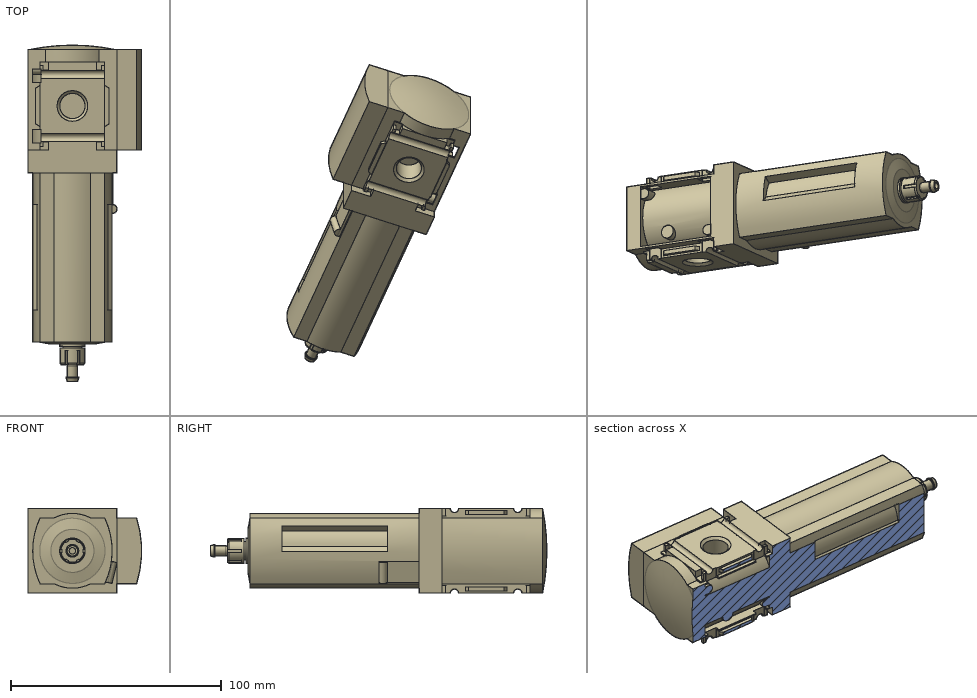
import cadquery as cq
import math


HEAD_WIDTH = 42.2
HEAD_HEIGHT = 40.2
CORE_HEIGHT = 31.3
HEAD_LENGTH = 58.6
COLLAR_LENGTH = 10.9
CAP_LENGTH = 5.9
DOME_RISE = 2.0
HALF_WIDTH = HEAD_WIDTH / 2
HALF_HEIGHT = HEAD_HEIGHT / 2
CORE_HALF_HEIGHT = CORE_HEIGHT / 2
CAP_START = HEAD_LENGTH - CAP_LENGTH
PORT_Y = (COLLAR_LENGTH + CAP_START) / 2

PAD_HALF_WIDTH = 15.3
GROOVE_RADIUS = 1.9
GROOVE_OFFSET = 15.0
CORNER_NOTCH_WIDTH = 4.0
CORNER_NOTCH_LENGTH = 3.8
CORNER_NOTCH_FLOOR = 16.5
LIP_WIDTH = 1.5
LIP_LENGTH = 2.0
TAB_REACH = 2.0
TAB_ROOT_LENGTH = 19.6
TAB_TIP_LENGTH = 17.0
TAB_BOTTOM = 17.2
TAB_TOP = 19.2
PORT_DIAMETER = 12.0
PORT_MOUTH_DIAMETER = 14.5
PORT_DEPTH = 12.8

POCKET_LENGTH = 38.3
POCKET_HALF_HEIGHT = 14.7
POCKET_CORE_RADIUS = 19.0
SLOT_OUTER_X = -18.8
SLOT_INNER_X = -14.9
SLOT_LENGTH = 6.4
SLOT_OFFSET = 14.4
PIN_RADIUS = 3.2
PIN_FACE_X = -18.8
PIN_Y = 37.5
PIN_Z = -8.6
LUG_RADIUS = 2.4
LUG_FACE_X = -20.8
LUG_OFFSET_Y = 17.2
LUG_Z = 11.2

COVER_EDGE_X = 30.5
COVER_CROWN_X = 32.9

BOWL_LENGTH = 80.3
BOWL_HALF_HEIGHT = 15.7
BOWL_CORNER_X = 15.3
BOWL_SIDE_X = 18.8
CROWN_HALF_WIDTH = 8.6
CROWN_Z = 17.7

WINDOW_START = 15.0
WINDOW_LENGTH = 50.0
WINDOW_FLOOR_RADIUS = 16.3
WINDOW_MOUTH = [(23.3, 16.0), (23.3, -4.5)]
WINDOW_ROOT = [(15.2, 2.9), (12.1, 8.8)]

LATCH_TOP = (19.2, -5.1)
LATCH_BOTTOM = (16.8, -15.0)
LATCH_ROOT_X = 14.4
LATCH_LENGTH = 19.2
BUTTON_RADIUS = 2.0

CONE_RADIUS = 15.5
CONE_TIP_RADIUS = 10.2
CONE_END = 81.3
FLANGE_RADIUS = 6.0
FLANGE_END = 82.2
NECK_RADIUS = 4.5
KNOB_START = 83.0
KNOB_END = 91.0
KNOB_RADIUS = 5.9
KNOB_BEVEL_LENGTH = 0.8
KNOB_TIP_RADIUS = 5.5
STEM_ROOT_RADIUS = 2.2
STEM_START = 91.8
STEM_DIAMETER = 5.0
BARB_DIAMETER = 6.0
BARB_START = 96.8
BARB_LAND = 0.5
DRAIN_END = 99.0
BORE_DIAMETER = 3.0
BORE_DEPTH = 8.0
KNOB_SLOTS = 6
KNOB_SLOT_WIDTH = 1.5
KNOB_SLOT_START = 84.3
KNOB_SLOT_FLOOR = 5.0


def block(x_range, y_range, z_range):
    """Box between two limits on each axis."""
    (x0, x1), (y0, y1), (z0, z1) = x_range, y_range, z_range
    return cq.Workplane("XY").box(x1 - x0, y1 - y0, z1 - z0, centered=False).translate((x0, y0, z0))


def rod_y(radius, start, end):
    """Cylinder on the Y axis."""
    return cq.Workplane("XZ", origin=(0, start, 0)).circle(radius).extrude(start - end)


def rod_x(radius, y, z, start, end):
    """Cylinder parallel to X."""
    return cq.Workplane("YZ", origin=(start, y, z)).circle(radius).extrude(end - start)


def mirrored_pair(shape, plane):
    return shape.union(shape.mirror(plane))


def head_blocks():
    core = block((-HALF_WIDTH, HALF_WIDTH), (0, HEAD_LENGTH), (-CORE_HALF_HEIGHT, CORE_HALF_HEIGHT))
    collar = block((-HALF_WIDTH, HALF_WIDTH), (0, COLLAR_LENGTH), (-HALF_HEIGHT, HALF_HEIGHT))
    cap = rod_y(HALF_HEIGHT, CAP_START, HEAD_LENGTH)
    return core.union(collar).union(cap).union(dome())


def dome():
    """Shallow spherical crown on the cap face."""
    sphere_radius = (HALF_HEIGHT**2 + DOME_RISE**2) / (2 * DOME_RISE)
    sphere_y = HEAD_LENGTH + DOME_RISE - sphere_radius
    mid_x = HALF_HEIGHT / 2
    mid_y = sphere_y + math.sqrt(sphere_radius**2 - mid_x**2)
    return (
        cq.Workplane("XY")
        .moveTo(0, HEAD_LENGTH)
        .lineTo(HALF_HEIGHT, HEAD_LENGTH)
        .threePointArc((mid_x, mid_y), (0, HEAD_LENGTH + DOME_RISE))
        .close()
        .revolve(360, (0, 0, 0), (0, 1, 0))
    )


def corner_notch():
    """Notch in the -X collar corner of the pad, leaving a small lip next to the groove."""
    edge = -PAD_HALF_WIDTH
    notch_end = COLLAR_LENGTH + CORNER_NOTCH_LENGTH
    depth = (CORNER_NOTCH_FLOOR, HALF_HEIGHT)
    notch = block((edge, edge + CORNER_NOTCH_WIDTH), (COLLAR_LENGTH, notch_end), depth)
    lip = block((edge, edge + LIP_WIDTH), (notch_end - LIP_LENGTH, notch_end), depth)
    return notch.cut(lip)


def pad_tab():
    """Tapered tab on the -X edge of the pad."""
    root_x = -PAD_HALF_WIDTH
    tip_x = root_x - TAB_REACH
    return (
        cq.Workplane("XY", origin=(0, PORT_Y, TAB_BOTTOM))
        .polyline([
            (root_x, -TAB_ROOT_LENGTH / 2),
            (tip_x, -TAB_TIP_LENGTH / 2),
            (tip_x, TAB_TIP_LENGTH / 2),
            (root_x, TAB_ROOT_LENGTH / 2),
        ])
        .close()
        .extrude(TAB_TOP - TAB_BOTTOM)
    )


def port_pad():
    """Raised pad on +Z with two round grooves along X, corner notches and edge tabs."""
    pad = block(
        (-PAD_HALF_WIDTH, PAD_HALF_WIDTH), (COLLAR_LENGTH, CAP_START), (CORE_HALF_HEIGHT, HALF_HEIGHT)
    )
    for side in (-1, 1):
        groove_y = PORT_Y + side * GROOVE_OFFSET
        pad = pad.cut(rod_x(GROOVE_RADIUS, groove_y, HALF_HEIGHT, -PAD_HALF_WIDTH, PAD_HALF_WIDTH))
    notches = mirrored_pair(corner_notch(), "YZ")
    far_notches = notches.mirror("XZ", (0, PORT_Y, 0))
    return pad.cut(notches).cut(far_notches).union(mirrored_pair(pad_tab(), "YZ"))


def port():
    """Blind port on +Z with a bevelled mouth."""
    bevel = (PORT_MOUTH_DIAMETER - PORT_DIAMETER) / 2
    return (
        cq.Workplane("XY", origin=(0, PORT_Y, HALF_HEIGHT))
        .circle(PORT_DIAMETER / 2)
        .extrude(-PORT_DEPTH)
        .union(
            cq.Workplane("XY", origin=(0, PORT_Y, HALF_HEIGHT))
            .circle(PORT_MOUTH_DIAMETER / 2)
            .extrude(-bevel, taper=45)
        )
    )


def pocket():
    """Opening on -X around the round core, with a pin and two lugs left standing in it."""
    start = PORT_Y - POCKET_LENGTH / 2
    end = PORT_Y + POCKET_LENGTH / 2
    opening = block((-HALF_WIDTH, 0), (start, end), (-POCKET_HALF_HEIGHT, POCKET_HALF_HEIGHT))
    opening = opening.cut(rod_y(POCKET_CORE_RADIUS, start, end))
    opening = opening.cut(rod_x(PIN_RADIUS, PIN_Y, PIN_Z, PIN_FACE_X, 0))
    for side, wall_y in ((-1, start), (1, end)):
        lug_y = PORT_Y + side * LUG_OFFSET_Y
        lug_z = side * LUG_Z
        web = block(
            (LUG_FACE_X, 0), sorted((lug_y, wall_y)), (lug_z - LUG_RADIUS, lug_z + LUG_RADIUS)
        )
        opening = opening.cut(rod_x(LUG_RADIUS, lug_y, lug_z, LUG_FACE_X, 0)).cut(web)
    return opening


def pocket_slots():
    """Two slots from the +Z side through the thin pocket wall, nicking the pad edge."""
    slots = cq.Workplane("XY")
    for side in (-1, 1):
        centre = PORT_Y + side * SLOT_OFFSET
        slots = slots.union(block(
            (SLOT_OUTER_X, SLOT_INNER_X),
            (centre - SLOT_LENGTH / 2, centre + SLOT_LENGTH / 2),
            (POCKET_HALF_HEIGHT, HALF_HEIGHT),
        ))
    return slots


def make_head():
    solid = head_blocks().union(mirrored_pair(port_pad(), "XY"))
    solid = solid.cut(pocket())
    for cutter in (port(), pocket_slots()):
        solid = solid.cut(cutter).cut(cutter.mirror("XY"))
    return solid


def bowl_barrel():
    """Barrel with curved sides, and flats on top and bottom that carry a round crown."""
    return (
        cq.Workplane("XZ")
        .moveTo(-BOWL_CORNER_X, BOWL_HALF_HEIGHT)
        .lineTo(-CROWN_HALF_WIDTH, BOWL_HALF_HEIGHT)
        .threePointArc((0, CROWN_Z), (CROWN_HALF_WIDTH, BOWL_HALF_HEIGHT))
        .lineTo(BOWL_CORNER_X, BOWL_HALF_HEIGHT)
        .threePointArc((BOWL_SIDE_X, 0), (BOWL_CORNER_X, -BOWL_HALF_HEIGHT))
        .lineTo(CROWN_HALF_WIDTH, -BOWL_HALF_HEIGHT)
        .threePointArc((0, -CROWN_Z), (-CROWN_HALF_WIDTH, -BOWL_HALF_HEIGHT))
        .lineTo(-BOWL_CORNER_X, -BOWL_HALF_HEIGHT)
        .threePointArc((-BOWL_SIDE_X, 0), (-BOWL_CORNER_X, BOWL_HALF_HEIGHT))
        .close()
        .extrude(BOWL_LENGTH)
    )


def sight_window():
    """Recess on +X with flared walls and a round floor."""
    recess = (
        cq.Workplane("XZ", origin=(0, -WINDOW_START, 0))
        .polyline(WINDOW_MOUTH + WINDOW_ROOT)
        .close()
        .extrude(WINDOW_LENGTH)
    )
    return recess.cut(rod_y(WINDOW_FLOOR_RADIUS, -BOWL_LENGTH, 0))


def latch():
    """Release slide on +X below the centre line, ending in a half-round button."""
    slide = (
        cq.Workplane("XZ")
        .polyline([LATCH_TOP, LATCH_BOTTOM, (LATCH_ROOT_X, LATCH_BOTTOM[1]), (LATCH_ROOT_X, LATCH_TOP[1])])
        .close()
        .extrude(LATCH_LENGTH)
    )
    button_y = BUTTON_RADIUS - LATCH_LENGTH
    run = cq.Vector(LATCH_BOTTOM[0] - LATCH_TOP[0], 0, LATCH_BOTTOM[1] - LATCH_TOP[1])
    button = cq.Workplane(cq.Solid.makeCylinder(
        BUTTON_RADIUS, run.Length, cq.Vector(LATCH_TOP[0], button_y, LATCH_TOP[1]), run
    ))
    return slide.union(button)


def drain():
    """End cone, flange, knob and barbed hose stem, turned about the Y axis."""
    stem_radius = STEM_DIAMETER / 2
    barb_radius = BARB_DIAMETER / 2
    profile = [
        (0, 0),
        (CONE_RADIUS, 0),
        (CONE_RADIUS, BOWL_LENGTH),
        (CONE_TIP_RADIUS, CONE_END),
        (FLANGE_RADIUS, CONE_END),
        (FLANGE_RADIUS, FLANGE_END),
        (NECK_RADIUS, FLANGE_END),
        (NECK_RADIUS, KNOB_START),
        (KNOB_RADIUS, KNOB_START),
        (KNOB_RADIUS, KNOB_END - KNOB_BEVEL_LENGTH),
        (KNOB_TIP_RADIUS, KNOB_END),
        (STEM_ROOT_RADIUS, KNOB_END),
        (stem_radius, STEM_START),
        (stem_radius, BARB_START),
        (barb_radius, BARB_START),
        (barb_radius, BARB_START + BARB_LAND),
        (stem_radius, DRAIN_END),
        (0, DRAIN_END),
    ]
    turned = (
        cq.Workplane("XY")
        .polyline([(radius, -distance) for radius, distance in profile])
        .close()
        .revolve(360, (0, 0, 0), (0, 1, 0))
    )
    for index in range(KNOB_SLOTS):
        turned = turned.cut(knob_slot().rotate((0, 0, 0), (0, 1, 0), index * 360 / KNOB_SLOTS))
    return turned.cut(rod_y(BORE_DIAMETER / 2, -DRAIN_END, BORE_DEPTH - DRAIN_END))


def knob_slot():
    return block(
        (KNOB_SLOT_FLOOR, KNOB_RADIUS + KNOB_SLOT_WIDTH),
        (-KNOB_END, -KNOB_SLOT_START),
        (-KNOB_SLOT_WIDTH / 2, KNOB_SLOT_WIDTH / 2),
    )


def make_bowl():
    solid = bowl_barrel().union(drain())
    return solid.cut(mirrored_pair(sight_window(), "YZ")).union(latch())


def make_housing():
    return make_head().union(make_bowl())


def make_cover():
    """Cover on +X with a crowned outer face."""
    return (
        cq.Workplane("XZ", origin=(0, COLLAR_LENGTH, 0))
        .moveTo(HALF_WIDTH, -CORE_HALF_HEIGHT)
        .lineTo(COVER_EDGE_X, -CORE_HALF_HEIGHT)
        .threePointArc((COVER_CROWN_X, 0), (COVER_EDGE_X, CORE_HALF_HEIGHT))
        .lineTo(HALF_WIDTH, CORE_HALF_HEIGHT)
        .close()
        .extrude(COLLAR_LENGTH - HEAD_LENGTH)
    )


housing = make_housing()
cover = make_cover()
result = cq.Compound.makeCompound([housing.val(), cover.val()])